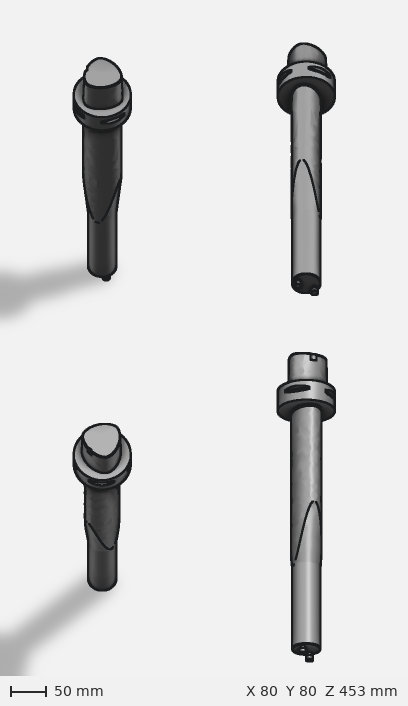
import cadquery as cq
import math

total_height = 453.0
coupling_length = 48.0
flange_thickness = 30.0
relief_length = 3.2
screw_head_height = 6.5
screw_length = 11.5
round_shank_length = 124.5

flange_top = total_height - coupling_length
flange_bottom = flange_top - flange_thickness
oval_top = flange_bottom - relief_length
oval_bottom = screw_length + round_shank_length

flange_diameter = 80.0
groove_depth = 4.4
groove_floor_height = 3.2
groove_mouth_height = 9.0
groove_drop = 12.0
groove_center_z = flange_top - groove_drop
groove_angles = (45, 135, 225, 315)

shank_diameter = 40.0
shank_end_chamfer = 0.8
oval_width = 55.6
relief_inset = 0.8
cone_half_angle = 4.9

lobe_mean_radius = 27.6
lobe_eccentricity = 2.0
lobe_count = 3
lobe_curve_points = 48
coupling_taper = 1 / 40
lead_in_height = 1.5
lead_in_inset = 0.8

notch_diameter = 12.0
notch_depth = 9.8
notch_inset = 2.0

screw_offset = 9.5
screw_neck_diameter = 6.0
screw_head_diameter = 10.0
screw_head_chamfer = 0.7


def lobed_wire(mean_radius, z):
    """Closed curve whose tangent at angle t lies mean radius + eccentricity * cos(3t) from the axis."""

    def point(fraction):
        t = 2 * math.pi * fraction
        support = mean_radius + lobe_eccentricity * math.cos(lobe_count * t)
        slope = -lobe_count * lobe_eccentricity * math.sin(lobe_count * t)
        return (
            support * math.cos(t) - slope * math.sin(t),
            support * math.sin(t) + slope * math.cos(t),
            z,
        )

    points = [cq.Vector(*point(i / lobe_curve_points)) for i in range(lobe_curve_points)]
    return cq.Wire.assembleEdges([cq.Edge.makeSpline(points, periodic=True)])


def make_coupling():
    lead_in_z = total_height - lead_in_height
    lead_in_radius = lobe_mean_radius - coupling_taper * (lead_in_z - flange_top)
    base = lobed_wire(lobe_mean_radius, flange_top)
    shoulder = lobed_wire(lead_in_radius, lead_in_z)
    tip = lobed_wire(lead_in_radius - lead_in_inset, total_height)
    taper = cq.Workplane(cq.Solid.makeLoft([base, shoulder], True))
    lead_in = cq.Workplane(cq.Solid.makeLoft([shoulder, tip], True))
    return taper.union(lead_in)


def make_notch():
    flat_x = -(lobe_mean_radius - lobe_eccentricity - coupling_taper * coupling_length)
    notch_axis_x = flat_x + notch_inset - notch_diameter / 2
    return (
        cq.Workplane("XY", origin=(notch_axis_x, 0, total_height - notch_depth))
        .circle(notch_diameter / 2)
        .extrude(notch_depth)
    )


def make_flange():
    flange = (
        cq.Workplane("XY", origin=(0, 0, flange_bottom))
        .circle(flange_diameter / 2)
        .extrude(flange_thickness)
    )
    rim = flange_diameter / 2
    floor = rim - groove_depth
    groove = (
        cq.Workplane("XZ", origin=(0, 0, groove_center_z))
        .moveTo(floor, -groove_floor_height / 2)
        .lineTo(rim, -groove_mouth_height / 2)
        .lineTo(rim, groove_mouth_height / 2)
        .lineTo(floor, groove_floor_height / 2)
        .close()
        .extrude(rim, both=True)
    )
    for angle in groove_angles:
        flange = flange.cut(groove.rotate((0, 0, 0), (0, 0, 1), angle))
    return flange


def make_shank():
    shank_radius = shank_diameter / 2
    oval_length = oval_top - oval_bottom
    oval = (
        cq.Workplane("XY", origin=(0, 0, oval_bottom))
        .ellipse(oval_width / 2, shank_radius)
        .extrude(oval_length)
    )
    cone_end_radius = shank_radius + oval_length * math.tan(math.radians(cone_half_angle))
    cone_base = cq.Vector(0, 0, oval_bottom)
    cone = cq.Workplane(cq.Solid.makeCone(shank_radius, cone_end_radius, oval_length, cone_base))
    relief = (
        cq.Workplane("XY", origin=(0, 0, oval_top))
        .ellipse(oval_width / 2 - relief_inset, shank_radius - relief_inset)
        .extrude(relief_length)
    )
    round_part = (
        cq.Workplane("XY", origin=(0, 0, screw_length))
        .circle(shank_radius)
        .extrude(round_shank_length)
        .faces("<Z")
        .chamfer(shank_end_chamfer)
    )
    return oval.intersect(cone).union(relief).union(round_part)


def make_screws():
    layout = cq.Workplane("XY").pushPoints([(-screw_offset, screw_offset), (screw_offset, -screw_offset)])
    heads = layout.circle(screw_head_diameter / 2).extrude(screw_head_height)
    heads = heads.faces("<Z").chamfer(screw_head_chamfer)
    necks = layout.circle(screw_neck_diameter / 2).extrude(screw_length)
    return heads.union(necks)


coupling = make_coupling().cut(make_notch())
result = make_shank().union(make_flange()).union(coupling).union(make_screws())